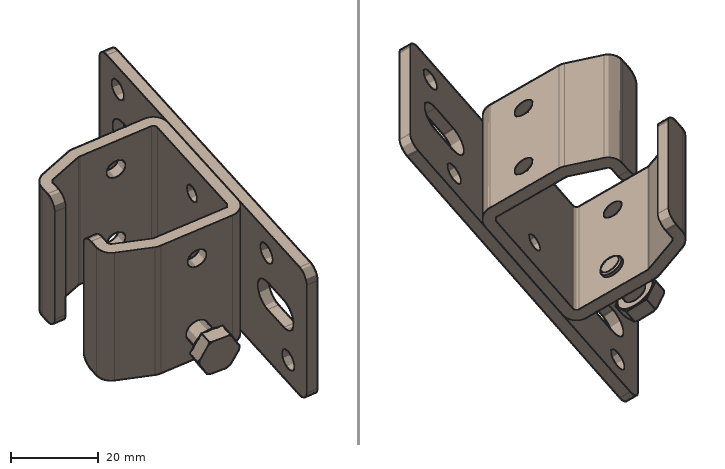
import cadquery as cq
import math

sheet = 3.0
height = 40.0
edge_radius = 3.15

plate_length = 90.0
plate_hole_diameter = 5.3
plate_hole_z = 13.0
outer_hole_x = 37.0
inner_hole_x = 27.5
slot_length = 15.5
slot_width = 8.5
slot_x = 31.5

channel_width = 38.2
channel_depth = 36.0
lip_gap = 12.5
knee_depth = 23.9
knee_angle = 20.5
inner_bend_radius = 1.0
outer_bend_radius = inner_bend_radius + sheet
channel_hole_z = 11.25
web_hole_diameter = 4.3
wall_hole_diameter = 5.0
wall_hole_depth = 13.4

shank_diameter = 5.9
shank_length = 9.9
tip_chamfer = 0.45
head_flats = 9.9
head_thickness = 4.0
washer_face_thickness = 0.3
head_chamfer = 0.4
head_turn = -3.0
bolt_end_x = 28.8
bolt_y = -wall_hole_depth
bolt_z = -channel_hole_z


def rod_x(diameter, start_x, end_x, y, z):
    """Round rod along X between two X positions."""
    return (
        cq.Workplane("YZ", origin=(start_x, y, z))
        .circle(diameter / 2)
        .extrude(end_x - start_x)
    )


def make_plate():
    plate = (
        cq.Workplane("XY")
        .box(plate_length, sheet, height, centered=(True, False, True))
        .edges("|Y")
        .fillet(edge_radius)
    )
    hole_points = [
        (-outer_hole_x, plate_hole_z),
        (-inner_hole_x, -plate_hole_z),
        (inner_hole_x, plate_hole_z),
        (outer_hole_x, -plate_hole_z),
    ]
    holes = cq.Workplane("XZ").pushPoints(hole_points).circle(plate_hole_diameter / 2).extrude(-sheet)
    slots = (
        cq.Workplane("XZ")
        .pushPoints([(-slot_x, 0), (slot_x, 0)])
        .slot2D(slot_length, slot_width)
        .extrude(-sheet)
    )
    return plate.cut(holes).cut(slots)


def channel_prism(half_width, top_depth, knee, lip_corner_x, bottom_depth, bend_radius):
    """Full-height closed prism that follows one skin of the channel, with rounded bends."""
    right_side = [(half_width, -top_depth), (half_width, -knee), (lip_corner_x, -bottom_depth)]
    left_side = [(-x, y) for x, y in reversed(right_side)]
    return (
        cq.Workplane("XY", origin=(0, 0, -height / 2))
        .polyline(right_side + left_side)
        .close()
        .extrude(height)
        .edges("|Z")
        .fillet(bend_radius)
    )


def make_channel():
    half_width = channel_width / 2
    lean = math.radians(knee_angle)
    lip_corner_x = half_width - (channel_depth - knee_depth) * math.tan(lean)
    outer = channel_prism(half_width, 0, knee_depth, lip_corner_x, channel_depth, outer_bend_radius)

    inner_knee = knee_depth - sheet * math.tan(lean / 2)
    lip_bend = math.pi / 2 - lean
    inner_lip_x = lip_corner_x - sheet * math.tan(lip_bend / 2)
    inner = channel_prism(
        half_width - sheet, sheet, inner_knee, inner_lip_x, channel_depth - sheet, inner_bend_radius
    )

    opening = cq.Workplane("XY").box(lip_gap, sheet, height).translate((0, sheet / 2 - channel_depth, 0))
    channel = outer.cut(inner).cut(opening)

    lip_box = cq.selectors.BoxSelector(
        (-lip_gap / 2 - edge_radius, -channel_depth - sheet, -height),
        (lip_gap / 2 + edge_radius, sheet - channel_depth, height),
    )
    channel = channel.edges("|Y").edges(lip_box).fillet(edge_radius)

    web_holes = (
        cq.Workplane("XZ")
        .pushPoints([(0, channel_hole_z), (0, -channel_hole_z)])
        .circle(web_hole_diameter / 2)
        .extrude(sheet)
    )
    channel = channel.cut(web_holes)

    for z in (channel_hole_z, -channel_hole_z):
        channel = channel.cut(rod_x(wall_hole_diameter, -half_width, half_width, -wall_hole_depth, z))
    return channel.cut(rod_x(shank_diameter, 0, half_width, bolt_y, bolt_z))


def make_bolt():
    head_x = bolt_end_x - head_thickness
    tip_x = head_x - shank_length
    shank = rod_x(shank_diameter, tip_x, head_x, bolt_y, bolt_z).faces("<X").chamfer(tip_chamfer)

    hexagon_x = head_x + washer_face_thickness
    washer_face = rod_x(head_flats, head_x, hexagon_x, bolt_y, bolt_z)
    head_corners = head_flats / math.cos(math.pi / 6)
    hexagon = (
        cq.Workplane("YZ", origin=(hexagon_x, bolt_y, bolt_z))
        .transformed(rotate=(0, 0, head_turn))
        .polygon(6, head_corners)
        .extrude(bolt_end_x - hexagon_x)
    )
    blank = rod_x(head_corners, hexagon_x, bolt_end_x, bolt_y, bolt_z).faces(">X").chamfer(head_chamfer)
    return shank.union(washer_face).union(hexagon.intersect(blank))


plate = make_plate()
channel = make_channel()
bolt = make_bolt()

result = cq.Compound.makeCompound([plate.val(), channel.val(), bolt.val()])